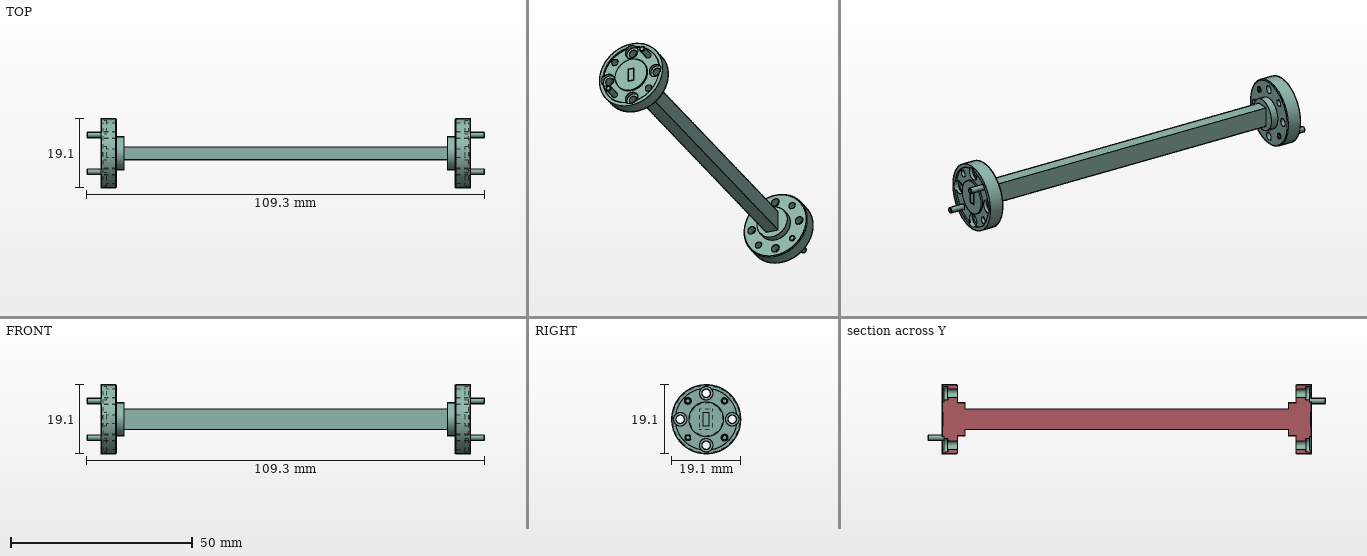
import cadquery as cq
import math

overall_length = 109.35
pin_projection = 3.9
flange_thickness = 4.25
collar_length = 2.1
flange_span = overall_length - 2 * pin_projection
half_span = flange_span / 2

flange_diameter = 19.05
flange_back_chamfer = 0.25
collar_diameter = 9.1

land_diameter = 9.53
rim_inner_diameter = 17.0
relief_depth = 0.5

bolt_circle_diameter = 14.29
bolt_radius = bolt_circle_diameter / 2
screw_hole_diameter = 2.26
counterbore_diameter = 3.7
counterbore_depth = 1.5
screw_angles = [0, 90, 180, 270]
dowel_hole_diameter = 1.9

pin_diameter = 1.58
pin_chamfer = 0.2
pin_length = pin_projection + flange_thickness

tube_width = 3.58
tube_height = 5.64
aperture_width = 1.65
aperture_height = 3.65
aperture_depth = 0.2

LEFT_END = -1
RIGHT_END = 1
pin_angles = {LEFT_END: [135, 315], RIGHT_END: [45, 225]}
dowel_hole_angles = {LEFT_END: [45, 225], RIGHT_END: [135, 315]}


def disc(diameter, start, length, side):
    """Cylinder on the X axis, from a depth below the mating face inward."""
    face = cq.Workplane("YZ", origin=(side * (half_span - start), 0, 0))
    return face.circle(diameter / 2).extrude(-side * length)


def drilled(angles, diameter, depth, side):
    """Round cutters on the bolt circle, sunk into a mating face."""
    points = [
        (bolt_radius * math.cos(math.radians(angle)), bolt_radius * math.sin(math.radians(angle)))
        for angle in angles
    ]
    face = cq.Workplane("YZ", origin=(side * half_span, 0, 0))
    return face.pushPoints(points).circle(diameter / 2).extrude(-side * depth)


def make_flange(side):
    """Round flange with its collar, face relief and holes."""
    back_face = "<X" if side == RIGHT_END else ">X"
    flange = disc(flange_diameter, 0, flange_thickness, side)
    flange = flange.faces(back_face).chamfer(flange_back_chamfer)
    flange = flange.union(disc(collar_diameter, flange_thickness, collar_length, side))

    relief = disc(rim_inner_diameter, 0, relief_depth, side).cut(disc(land_diameter, 0, relief_depth, side))
    flange = flange.cut(relief)
    flange = flange.cut(drilled(screw_angles, screw_hole_diameter, flange_thickness, side))
    flange = flange.cut(drilled(screw_angles, counterbore_diameter, counterbore_depth, side))
    flange = flange.cut(drilled(dowel_hole_angles[side], dowel_hole_diameter, flange_thickness, side))
    return flange.cut(drilled(pin_angles[side], pin_diameter, flange_thickness, side))


def aperture(side):
    """Cutter for the shallow rectangular aperture in the central land."""
    face = cq.Workplane("YZ", origin=(side * half_span, 0, 0))
    return face.rect(aperture_width, aperture_height).extrude(-side * aperture_depth)


def make_waveguide():
    """Rectangular tube with a flange at each end, as one solid."""
    tube_length = flange_span - 2 * flange_thickness
    waveguide = cq.Workplane("XY").box(tube_length, tube_width, tube_height)
    for side in (LEFT_END, RIGHT_END):
        waveguide = waveguide.union(make_flange(side)).cut(aperture(side))
    return waveguide


def make_pin(side, angle):
    """Dowel pin ending flush with the flange back, chamfered at both ends."""
    y = bolt_radius * math.cos(math.radians(angle))
    z = bolt_radius * math.sin(math.radians(angle))
    seat = cq.Workplane("YZ", origin=(side * (half_span - flange_thickness), y, z))
    pin = seat.circle(pin_diameter / 2).extrude(side * pin_length)
    return pin.faces("<X or >X").chamfer(pin_chamfer)


waveguide = make_waveguide()
pins = [make_pin(side, angle) for side in pin_angles for angle in pin_angles[side]]

result = cq.Compound.makeCompound([waveguide.val(), *[pin.val() for pin in pins]])